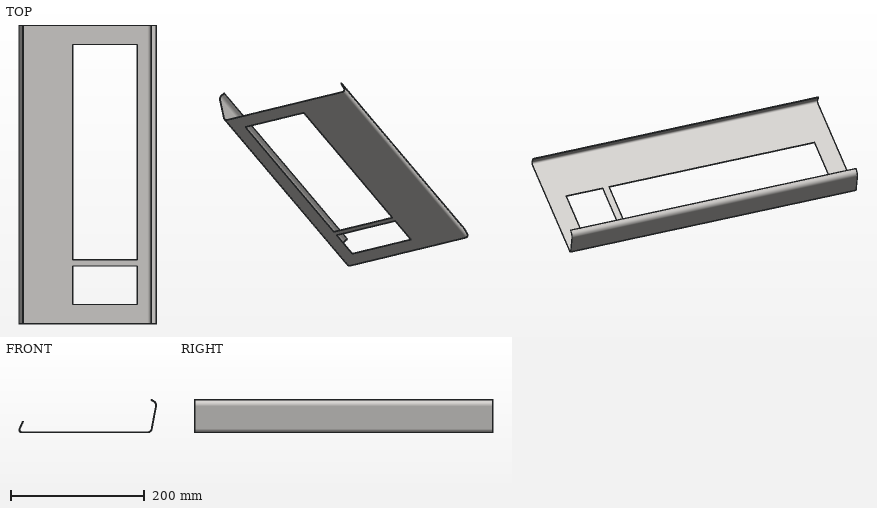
import cadquery as cq
import math

overall_width = 205.48
overall_height = 49.72
panel_length = 446.0
sheet_thickness = 1.2

flange_slope = 65.4
flange_height = 16.9
flange_outer_radius = 4.2

wall_slope = 79.1
wall_outer_radius = 6.6
wall_bend_top = 39.5
lip_bend_angle = 68.1
lip_outer_radius = 7.7

window_left = -22.3
window_width = 96.0
window_end_margin = 29.0
small_window_length = 57.0
web_width = 10.0
large_window_length = panel_length - 2 * window_end_margin - small_window_length - web_width


def polar(origin, distance, angle):
    """Point at a distance from another point, in the direction of an angle in degrees from +X."""
    turn = math.radians(angle)
    return (origin[0] + distance * math.cos(turn), origin[1] + distance * math.sin(turn))


def bend(center, outer_radius, start_angle, end_angle):
    """Sheet bend; angles locate the outward normals where it starts and ends."""
    return {
        "center": center,
        "outer": outer_radius,
        "inner": outer_radius - sheet_thickness,
        "angles": (start_angle, (start_angle + end_angle) / 2, end_angle),
    }


def bend_points(sheet_bend, face):
    """Start, middle and end of a bend on its outer or inner face."""
    return [polar(sheet_bend["center"], sheet_bend[face], angle) for angle in sheet_bend["angles"]]


def make_profile():
    """Closed XZ cross-section of the folded sheet, with the floor underside on Z = 0."""
    floor_normal = 270.0
    flange_normal = 90.0 + flange_slope
    wall_normal = floor_normal + wall_slope
    lip_normal = wall_normal + lip_bend_angle

    flange_center = (-overall_width / 2 + flange_outer_radius, flange_outer_radius)
    flange_bend = bend(flange_center, flange_outer_radius, flange_normal, floor_normal)

    lip_inner_radius = lip_outer_radius - sheet_thickness
    lip_center_z = wall_bend_top - lip_inner_radius * math.sin(math.radians(wall_normal))
    lip_center = (overall_width / 2 - lip_outer_radius, lip_center_z)
    lip_bend = bend(lip_center, lip_outer_radius, wall_normal, lip_normal)

    wall_top = polar(lip_center, lip_outer_radius, wall_normal)
    wall_bend_rise = wall_outer_radius * (1 - math.cos(math.radians(wall_slope)))
    wall_length = (wall_top[1] - wall_bend_rise) / math.sin(math.radians(wall_slope))
    wall_bottom = polar(wall_top, -wall_length, wall_slope)
    wall_center = polar(wall_bottom, -wall_outer_radius, wall_normal)
    wall_bend = bend(wall_center, wall_outer_radius, floor_normal, wall_normal)

    flange_start = bend_points(flange_bend, "outer")[0]
    flange_length = (flange_height - flange_start[1]) / math.sin(math.radians(flange_slope))
    flange_tip = polar(flange_start, flange_length, flange_slope)

    lip_direction = lip_normal + 90.0
    lip_start = bend_points(lip_bend, "outer")[-1]
    lip_length = (overall_height - lip_start[1]) / math.sin(math.radians(lip_direction))
    lip_tip = polar(lip_start, lip_length, lip_direction)

    bends = [flange_bend, wall_bend, lip_bend]
    profile = cq.Workplane("XZ").moveTo(*flange_tip)
    for sheet_bend in bends:
        start, middle, end = bend_points(sheet_bend, "outer")
        profile = profile.lineTo(*start).threePointArc(middle, end)
    profile = profile.lineTo(*lip_tip).lineTo(*polar(lip_tip, -sheet_thickness, lip_normal))
    for sheet_bend in reversed(bends):
        end, middle, start = bend_points(sheet_bend, "inner")
        profile = profile.lineTo(*start).threePointArc(middle, end)
    return profile.lineTo(*polar(flange_tip, -sheet_thickness, flange_normal)).close()


def make_window(start_y, length):
    """Cutter for one rectangular window through the floor."""
    cutter = cq.Workplane("XY").box(window_width, length, sheet_thickness, centered=False)
    return cutter.translate((window_left, start_y, 0))


small_window_start = -panel_length / 2 + window_end_margin
large_window_start = small_window_start + small_window_length + web_width

result = make_profile().extrude(panel_length / 2, both=True)
result = result.cut(make_window(small_window_start, small_window_length))
result = result.cut(make_window(large_window_start, large_window_length))